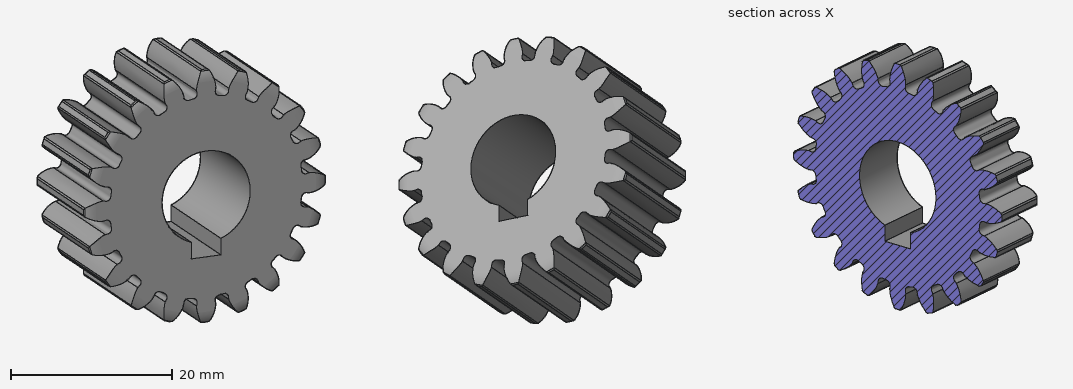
import cadquery as cq
import math

MODULE = 1.5
TOOTH_COUNT = 20
PRESSURE_ANGLE = math.radians(20)
FACE_WIDTH = 15.0

PITCH_RADIUS = MODULE * TOOTH_COUNT / 2
TIP_RADIUS = PITCH_RADIUS + MODULE
ROOT_RADIUS = PITCH_RADIUS - 1.25 * MODULE
BASE_RADIUS = PITCH_RADIUS * math.cos(PRESSURE_ANGLE)
TOOTH_PITCH = 2 * math.pi / TOOTH_COUNT

ROOT_FILLET = 0.4 * MODULE
NECK_HALF_WIDTH = 1.23
TIP_CHAMFER = 0.15
END_ROUND_RADIUS = 3.0
FLANK_STEPS = 6

BORE_DIAMETER = 12.0
KEYWAY_WIDTH = 4.0
KEYWAY_DEPTH = 1.8


def end_plane():
    """Sketch plane on the -X end face, for extruding across the whole face width."""
    return cq.Workplane("YZ", origin=(-FACE_WIDTH / 2, 0, 0))


def polar(radius, angle):
    """Point at an angle measured from the tooth centre line (the second axis)."""
    return (radius * math.sin(angle), radius * math.cos(angle))


def involute(pressure_angle):
    return math.tan(pressure_angle) - pressure_angle


def flank_half_angle(radius):
    """Half of the angle that the tooth spans at the given radius."""
    pitch_half_angle = TOOTH_PITCH / 4
    local_pressure_angle = math.acos(BASE_RADIUS / radius)
    return pitch_half_angle + involute(PRESSURE_ANGLE) - involute(local_pressure_angle)


def half_tooth():
    """Key points of one tooth side, from the tip land down to the root circle."""
    tip_half_angle = flank_half_angle(TIP_RADIUS)
    land_corner = polar(TIP_RADIUS, tip_half_angle - TIP_CHAMFER / TIP_RADIUS)

    flank_lean = math.acos(BASE_RADIUS / TIP_RADIUS)
    flank_top = TIP_RADIUS - TIP_CHAMFER * math.cos(flank_lean)
    step = (flank_top - BASE_RADIUS) / FLANK_STEPS
    radii = [flank_top - step * i for i in range(FLANK_STEPS)] + [BASE_RADIUS]
    flank = [polar(radius, flank_half_angle(radius)) for radius in radii]

    centre_radius = ROOT_RADIUS + ROOT_FILLET
    centre_angle = math.asin((NECK_HALF_WIDTH + ROOT_FILLET) / centre_radius)
    centre_x, centre_y = polar(centre_radius, centre_angle)
    fillet_start = (NECK_HALF_WIDTH, centre_y)
    fillet_end = polar(ROOT_RADIUS, centre_angle)
    neck_direction = math.pi
    root_direction = 1.5 * math.pi - centre_angle
    middle_direction = (neck_direction + root_direction) / 2
    fillet_middle = (
        centre_x + ROOT_FILLET * math.cos(middle_direction),
        centre_y + ROOT_FILLET * math.sin(middle_direction),
    )
    return land_corner, flank, fillet_start, fillet_middle, fillet_end


def turned(point, angle):
    """Rotate a point clockwise about the gear axis."""
    x, y = point
    return (
        x * math.cos(angle) + y * math.sin(angle),
        y * math.cos(angle) - x * math.sin(angle),
    )


def mirrored(point):
    return (-point[0], point[1])


def toothed_blank():
    land_corner, flank, fillet_start, fillet_middle, fillet_end = half_tooth()
    outline = end_plane().moveTo(*mirrored(fillet_end))
    for tooth in range(TOOTH_COUNT):
        angle = tooth * TOOTH_PITCH

        def right(point):
            return turned(point, angle)

        def left(point):
            return turned(mirrored(point), angle)

        rising_flank = [left(point) for point in reversed(flank)]
        falling_flank = [right(point) for point in flank]
        outline = (
            outline.threePointArc(left(fillet_middle), left(fillet_start))
            .lineTo(*rising_flank[0])
            .spline(rising_flank[1:], includeCurrent=True)
            .lineTo(*left(land_corner))
            .threePointArc(right((0, TIP_RADIUS)), right(land_corner))
            .lineTo(*falling_flank[0])
            .spline(falling_flank[1:], includeCurrent=True)
            .lineTo(*right(fillet_start))
            .threePointArc(right(fillet_middle), right(fillet_end))
        )
        space_middle = polar(ROOT_RADIUS, angle + TOOTH_PITCH / 2)
        next_tooth_start = turned(mirrored(fillet_end), angle + TOOTH_PITCH)
        outline = outline.threePointArc(space_middle, next_tooth_start)
    return outline.close().extrude(FACE_WIDTH)


def rounded_envelope():
    """Turned body whose ends round off beyond the pitch circle, up to a chamfered rim."""
    half_width = FACE_WIDTH / 2

    def end_round_x(radius):
        rise = radius - PITCH_RADIUS
        return half_width - END_ROUND_RADIUS + math.sqrt(END_ROUND_RADIUS**2 - rise**2)

    slope = math.asin((TIP_RADIUS - PITCH_RADIUS) / END_ROUND_RADIUS)
    rim_bottom = TIP_RADIUS - TIP_CHAMFER * math.cos(slope)
    arc_middle = (PITCH_RADIUS + rim_bottom) / 2
    middle_x = end_round_x(arc_middle)
    rim_x = end_round_x(rim_bottom)
    land_x = end_round_x(TIP_RADIUS) - TIP_CHAMFER
    profile = (
        cq.Workplane("XY")
        .moveTo(-half_width, 0)
        .lineTo(-half_width, PITCH_RADIUS)
        .threePointArc((-middle_x, arc_middle), (-rim_x, rim_bottom))
        .lineTo(-land_x, TIP_RADIUS)
        .lineTo(land_x, TIP_RADIUS)
        .lineTo(rim_x, rim_bottom)
        .threePointArc((middle_x, arc_middle), (half_width, PITCH_RADIUS))
        .lineTo(half_width, 0)
        .close()
    )
    return profile.revolve(360, (0, 0, 0), (1, 0, 0))


def bore_with_keyway():
    bore = end_plane().circle(BORE_DIAMETER / 2).extrude(FACE_WIDTH)
    keyway_height = BORE_DIAMETER / 2 + KEYWAY_DEPTH
    keyway = (
        end_plane()
        .center(0, -keyway_height / 2)
        .rect(KEYWAY_WIDTH, keyway_height)
        .extrude(FACE_WIDTH)
    )
    return bore.union(keyway)


result = toothed_blank().intersect(rounded_envelope()).cut(bore_with_keyway())